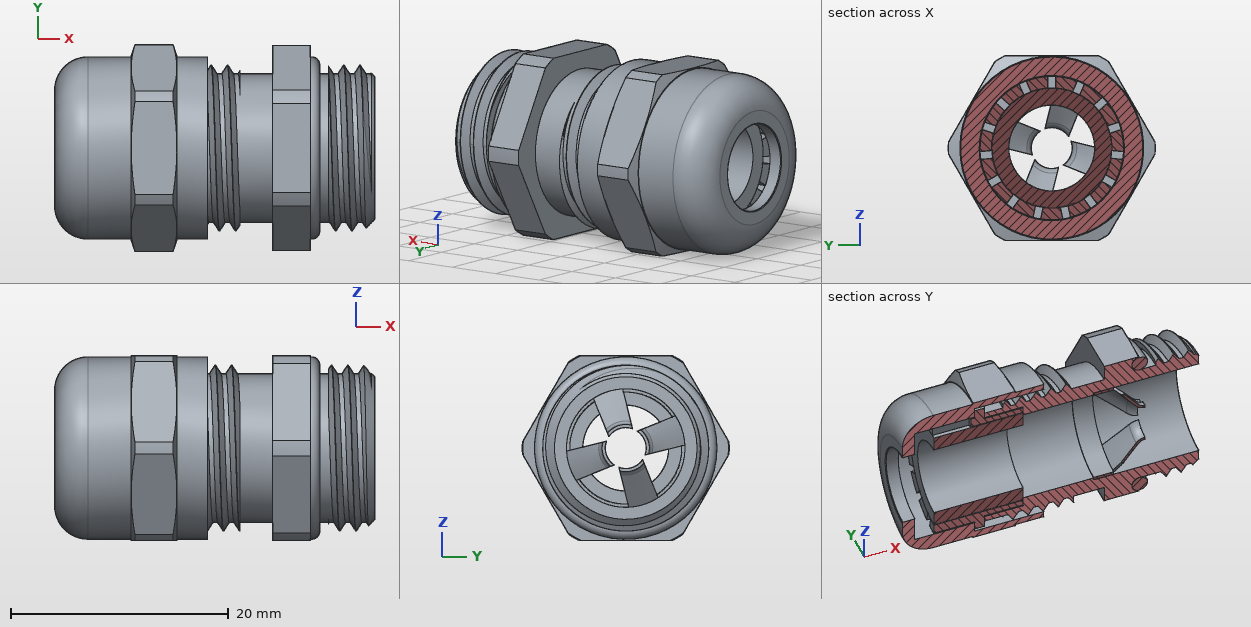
import cadquery as cq
import math

OVERALL_LENGTH = 29.44
ACROSS_FLATS = 17.0

NUT_LENGTH = 14.06
NUT_RADIUS = 16.77 / 2
DOME_RADIUS = 3.08
ENTRY_RADIUS = 8.1 / 2
ENTRY_CHAMFER = 0.075
LIP_THICKNESS = 1.27
CHAMBER_RADIUS = 13.3 / 2
NUT_SHOULDER = 7.2
NUT_BORE_RADIUS = 15.4 / 2
NUT_HEX_START = 7.03
NUT_HEX_END = 11.25
NUT_HEX_CORNER_RADIUS = 19.03 / 2
NUT_HEX_BEVEL_LENGTH = 0.36
NUT_HEX_BEVEL_RADIUS = 8.45

CLAW_HEAD_RADIUS = 13.2 / 2
CLAW_SLEEVE_RADIUS = 12.36 / 2
CLAW_BORE_RADIUS = 11.02 / 2
CLAW_FRONT = 3.15
COLLAR_THICKNESS = 1.0
COLLAR_RADIUS = 7.5
TOOTH_COUNT = 15
SLIT_WIDTH = 0.7
SLIT_END = 6.8

SEAL_RADIUS = 11.0 / 2
SEAL_BORE_RADIUS = 7.87 / 2

BODY_FRONT = NUT_SHOULDER + COLLAR_THICKNESS
ROOT_RADIUS = 13.7 / 2
SOCKET_RADIUS = 12.44 / 2
SOCKET_END = 12.0
BODY_BORE_RADIUS = 10.43 / 2
SPRING_SEAT = 19.0
SPRING_RADIUS = 10.89 / 2
BODY_HEX_START = 20.04
BODY_HEX_END = 23.5
BODY_HEX_CORNER_RADIUS = 18.86 / 2
STEM_CHAMFER = 0.3

CREST_RADIUS = 15.26 / 2
THREAD_PITCH = 1.5
FLANK_ANGLE = 33.0
THREAD_CREST_WIDTH = 0.05
THREAD_SINK = 0.15
NUT_THREAD_START = 10.0
NUT_THREAD_END = 17.05
NUT_THREAD_CREST_AT_BOTTOM = 15.52
STEM_THREAD_START = 25.16
STEM_THREAD_CREST_AT_BOTTOM = 26.2

O_RING_TUBE_RADIUS = 0.77
O_RING_CENTRE_RADIUS = NUT_RADIUS - O_RING_TUBE_RADIUS
O_RING_X = 23.61

SPRING_THICKNESS = 0.3
SPRING_RING_LENGTH = 2.0
FINGER_COUNT = 4
FINGER_HALF_WIDTH_AT_AXIS = 1.05
FINGER_FLARE = 4.0
FINGER_TURN = 18.0
FINGER_SLOPE = 52.0
FINGER_LIP_RADIUS = 2.3
FINGER_TIP_RADIUS = 1.87


def revolve_about_x(points):
    """Solid of revolution about X from a closed outline of (x, radius) points."""
    return cq.Workplane("XY").polyline(points).close().revolve(360, (0, 0, 0), (1, 0, 0))


def cylinder(start, end, radius):
    return cq.Workplane("YZ").workplane(offset=start).circle(radius).extrude(end - start)


def hexagon(start, end, corner_radius):
    """Hexagonal prism with flats on top and bottom and its corners turned down to corner_radius."""
    across_corners = ACROSS_FLATS / math.cos(math.pi / 6)
    prism = cq.Workplane("YZ").workplane(offset=start).polygon(6, across_corners).extrude(end - start)
    return prism.intersect(cylinder(start, end, corner_radius))


def thread_ridge(start, end, crest_at_bottom):
    """Right-handed V ridge trimmed square at both ends, with a crest at the bottom at crest_at_bottom.

    Its flanks run on below the root so that it merges with the body tube.
    """
    turns_before = math.ceil((crest_at_bottom - start) / THREAD_PITCH) + 1
    helix_start = crest_at_bottom - turns_before * THREAD_PITCH
    turns = math.ceil((end - helix_start) / THREAD_PITCH) + 1
    helix = cq.Wire.makeHelix(THREAD_PITCH, turns * THREAD_PITCH, ROOT_RADIUS)
    flank_depth = CREST_RADIUS - ROOT_RADIUS + THREAD_SINK
    half_crest = THREAD_CREST_WIDTH / 2
    half_foot = half_crest + flank_depth * math.tan(math.radians(FLANK_ANGLE))
    ridge = (
        cq.Workplane("XZ")
        .polyline(
            [
                (CREST_RADIUS - flank_depth, -half_foot),
                (CREST_RADIUS, -half_crest),
                (CREST_RADIUS, half_crest),
                (CREST_RADIUS - flank_depth, half_foot),
            ]
        )
        .close()
        .sweep(cq.Workplane(obj=helix), isFrenet=True)
    )
    ridge = ridge.rotate((0, 0, 0), (0, 1, 0), 90).translate((helix_start, 0, 0))
    return ridge.intersect(cylinder(start, end, NUT_RADIUS))


def make_nut():
    """Domed cap with a bevelled hexagonal grip and a stepped bore."""
    shell = cylinder(0, NUT_LENGTH, NUT_RADIUS).faces("<X").edges().fillet(DOME_RADIUS)
    bevel = revolve_about_x(
        [
            (NUT_HEX_START, 0),
            (NUT_HEX_START, NUT_HEX_BEVEL_RADIUS),
            (NUT_HEX_START + NUT_HEX_BEVEL_LENGTH, NUT_HEX_CORNER_RADIUS),
            (NUT_HEX_END - NUT_HEX_BEVEL_LENGTH, NUT_HEX_CORNER_RADIUS),
            (NUT_HEX_END, NUT_HEX_BEVEL_RADIUS),
            (NUT_HEX_END, 0),
        ]
    )
    grip = hexagon(NUT_HEX_START, NUT_HEX_END, NUT_HEX_CORNER_RADIUS).intersect(bevel)
    bore = revolve_about_x(
        [
            (0, 0),
            (0, ENTRY_RADIUS + ENTRY_CHAMFER),
            (ENTRY_CHAMFER, ENTRY_RADIUS),
            (LIP_THICKNESS, ENTRY_RADIUS),
            (LIP_THICKNESS, CHAMBER_RADIUS),
            (NUT_SHOULDER, CHAMBER_RADIUS),
            (NUT_SHOULDER, NUT_BORE_RADIUS),
            (NUT_LENGTH, NUT_BORE_RADIUS),
            (NUT_LENGTH, 0),
        ]
    )
    return shell.union(grip).cut(bore)


def make_claw():
    """Slit sleeve around the seal, its collar held between the nut shoulder and the body."""
    head = cylinder(CLAW_FRONT, NUT_SHOULDER, CLAW_HEAD_RADIUS)
    sleeve = cylinder(NUT_SHOULDER, SOCKET_END, CLAW_SLEEVE_RADIUS)
    collar = cylinder(NUT_SHOULDER, BODY_FRONT, COLLAR_RADIUS)
    claw = head.union(sleeve).union(collar).cut(cylinder(CLAW_FRONT, SOCKET_END, CLAW_BORE_RADIUS))
    slit_length = SLIT_END - CLAW_FRONT
    slit = cq.Workplane("XY").box(slit_length, SLIT_WIDTH, CLAW_HEAD_RADIUS, centered=(False, True, False))
    slit = slit.translate((CLAW_FRONT, 0, 0))
    for index in range(TOOTH_COUNT):
        claw = claw.cut(slit.rotate((0, 0, 0), (1, 0, 0), index * 360 / TOOTH_COUNT))
    return claw


def make_seal():
    return cylinder(CLAW_FRONT, SOCKET_END, SEAL_RADIUS).cut(
        cylinder(CLAW_FRONT, SOCKET_END, SEAL_BORE_RADIUS)
    )


def make_o_ring():
    section = cq.Workplane("XY").moveTo(O_RING_X, O_RING_CENTRE_RADIUS).circle(O_RING_TUBE_RADIUS)
    return section.revolve(360, (0, 0, 0), (1, 0, 0))


def make_body():
    """Threaded tube with a hexagon, a groove for the O-ring and stepped bore for seal, claw and spring."""
    run_out = OVERALL_LENGTH + THREAD_PITCH
    tube = cylinder(BODY_FRONT, run_out + THREAD_PITCH, ROOT_RADIUS)
    grip = hexagon(BODY_HEX_START, BODY_HEX_END, BODY_HEX_CORNER_RADIUS)
    nut_thread = thread_ridge(NUT_THREAD_START, NUT_THREAD_END, NUT_THREAD_CREST_AT_BOTTOM)
    stem_thread = thread_ridge(STEM_THREAD_START, run_out, STEM_THREAD_CREST_AT_BOTTOM)
    stem_end_radius = ROOT_RADIUS - STEM_CHAMFER
    chamfer_reach = ACROSS_FLATS
    envelope = revolve_about_x(
        [
            (BODY_FRONT, 0),
            (BODY_FRONT, stem_end_radius + chamfer_reach),
            (OVERALL_LENGTH - chamfer_reach, stem_end_radius + chamfer_reach),
            (OVERALL_LENGTH, stem_end_radius),
            (OVERALL_LENGTH, 0),
        ]
    )
    bore = revolve_about_x(
        [
            (BODY_FRONT, 0),
            (BODY_FRONT, SOCKET_RADIUS),
            (SOCKET_END, SOCKET_RADIUS),
            (SOCKET_END, BODY_BORE_RADIUS),
            (SPRING_SEAT, BODY_BORE_RADIUS),
            (SPRING_SEAT, SPRING_RADIUS),
            (OVERALL_LENGTH, SPRING_RADIUS),
            (OVERALL_LENGTH, 0),
        ]
    )
    outside = tube.union(nut_thread).union(stem_thread).union(grip).intersect(envelope)
    return outside.cut(bore).cut(make_o_ring())


def make_spring():
    """Ring with four fingers that slope inwards and turn along the axis at their tips."""
    ring_inner = SPRING_RADIUS - SPRING_THICKNESS
    ring_end = SPRING_SEAT + SPRING_RING_LENGTH
    ring = cylinder(SPRING_SEAT, ring_end, SPRING_RADIUS).cut(cylinder(SPRING_SEAT, ring_end, ring_inner))
    slope = math.radians(FINGER_SLOPE)
    bend_radius = (FINGER_LIP_RADIUS - FINGER_TIP_RADIUS) / (1 - math.cos(slope))
    lip_x = ring_end + (ring_inner - FINGER_LIP_RADIUS) / math.tan(slope)
    tip_x = lip_x + bend_radius * math.sin(slope)
    outer_bend = bend_radius - SPRING_THICKNESS

    def bend_point(radius, angle):
        return (tip_x - radius * math.sin(angle), FINGER_TIP_RADIUS + bend_radius - radius * math.cos(angle))

    outer_lip = bend_point(outer_bend, slope)
    outer_start_x = outer_lip[0] - (SPRING_RADIUS - outer_lip[1]) / math.tan(slope)
    funnel = (
        cq.Workplane("XY")
        .moveTo(ring_end, ring_inner)
        .lineTo(lip_x, FINGER_LIP_RADIUS)
        .threePointArc(bend_point(bend_radius, slope / 2), (tip_x, FINGER_TIP_RADIUS))
        .lineTo(tip_x, FINGER_TIP_RADIUS + SPRING_THICKNESS)
        .threePointArc(bend_point(outer_bend, slope / 2), outer_lip)
        .lineTo(outer_start_x, SPRING_RADIUS)
        .lineTo(ring_end, SPRING_RADIUS)
        .close()
        .revolve(360, (0, 0, 0), (1, 0, 0))
    )
    half_width_at_ring = FINGER_HALF_WIDTH_AT_AXIS + SPRING_RADIUS * math.tan(math.radians(FINGER_FLARE))
    wedge = (
        cq.Workplane("YZ")
        .polyline(
            [
                (-FINGER_HALF_WIDTH_AT_AXIS, 0),
                (-half_width_at_ring, SPRING_RADIUS),
                (half_width_at_ring, SPRING_RADIUS),
                (FINGER_HALF_WIDTH_AT_AXIS, 0),
            ]
        )
        .close()
        .extrude(OVERALL_LENGTH)
    )
    spring = ring
    for index in range(FINGER_COUNT):
        turn = FINGER_TURN + index * 360 / FINGER_COUNT
        spring = spring.union(funnel.intersect(wedge.rotate((0, 0, 0), (1, 0, 0), turn)))
    return spring


nut = make_nut()
claw = make_claw()
seal = make_seal()
body = make_body()
o_ring = make_o_ring()
spring = make_spring()

result = cq.Compound.makeCompound(
    [
        nut.solids().val(),
        claw.solids().val(),
        seal.solids().val(),
        body.solids().val(),
        o_ring.solids().val(),
        spring.solids().val(),
    ]
)